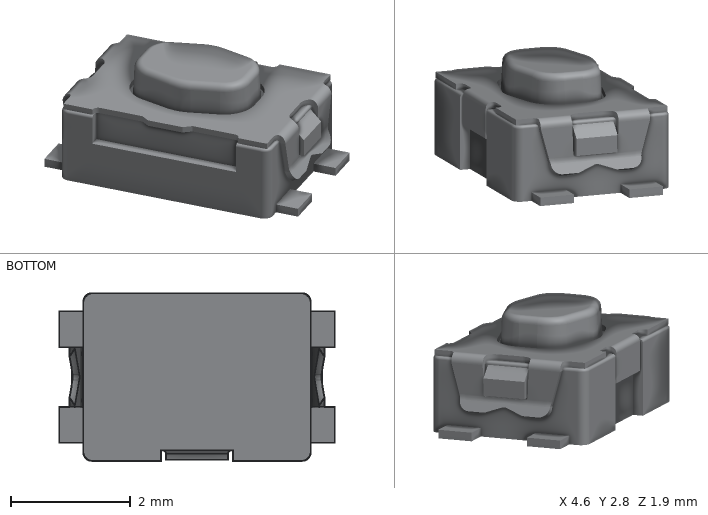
import cadquery as cq
import math

overall_length = 4.6
body_length = 3.8
body_width = 2.8
body_height = 1.3
total_height = 1.9
sheet = 0.1
cover_top = body_height + sheet
reach = overall_length

corner_radius = 0.15
rim_radius = 0.05
recess_depth = 0.18
recess_wall = body_width / 2 - recess_depth
front_recess_length = 2.605
front_recess_floor = 0.78
rear_recess_length = 1.2
catch_width = 0.735
catch_bottom = 0.75
catch_ridge = 1.045
catch_face = 2.095

terminal_width = 0.603
terminal_thickness = 0.145
terminal_spacing = 1.595

plate_length = 3.69
plate_width = 2.715
root_radius = 0.095
front_notch_end = 1.315
front_notch_depth = 0.1
lip_half_base = 0.455
lip_half_tip = 0.315
rear_slot_end = 0.915
rear_slot_root = recess_wall

tab_width = 1.035
tab_root_radius = 0.065
tab_face = 1.38
tab_bend_radius = 0.105

arm_face = 2.02
arm_bend_radius = 0.15
arm_bend_bottom = cover_top - arm_bend_radius
arm_half_top = 0.98
arm_half_bottom = 0.81
flare_top = 0.725
flare_angle = 27.0
flare_radius = 0.195
foot_length = 0.195
foot_corner_radius = 0.185
foot_notch_top = 0.585
foot_notch_slope = 19.0
foot_notch_radius = 0.14
window_start = 1.785
window_half_top = 0.415
window_half_bottom = 0.395
window_bottom = 0.718
window_plan_radius = 0.195
window_corner_radius = 0.055

button_half_length = 1.05
button_end_flat = 0.33
button_corner_radius = 0.488
button_crown_radius = 0.78
button_side_slope = 15.0
button_draft = 3.0
button_edge_radius = 0.125
button_clearance = 0.06


def block(x_min, x_max, y_min, y_max, z_min, z_max):
    size = (x_max - x_min, y_max - y_min, z_max - z_min)
    return cq.Workplane("XY").box(*size, centered=False).translate((x_min, y_min, z_min))


def mirrored_in_x(shape):
    return shape.union(shape.mirror("YZ"))


def housing_catch():
    """Wedge on the +X end wall, with a 45 degree lead-in at its top."""
    inside = body_length / 2 - rim_radius
    return (
        cq.Workplane("XZ")
        .moveTo(inside, catch_bottom)
        .lineTo(catch_face, catch_bottom)
        .lineTo(catch_face, catch_ridge)
        .lineTo(inside, catch_ridge + catch_face - inside)
        .close()
        .extrude(catch_width / 2, both=True)
    )


def make_housing():
    body = (
        cq.Workplane("XY")
        .box(body_length, body_width, body_height, centered=(True, True, False))
        .edges("|Z").fillet(corner_radius)
        .faces(">Z").edges().fillet(rim_radius)
    )
    front_half = front_recess_length / 2
    front_recess = block(-front_half, front_half, -reach, -recess_wall, front_recess_floor, reach)
    rear_half = rear_recess_length / 2
    rear_recess = block(-rear_half, rear_half, recess_wall, reach, 0, reach)
    body = body.cut(front_recess).cut(rear_recess)
    return body.union(mirrored_in_x(housing_catch()))


def make_terminal(side_x, side_y):
    """Flat lead that runs out from an end wall of the housing."""
    length = (overall_length - body_length) / 2
    center_x = side_x * (body_length + length) / 2
    center_y = side_y * terminal_spacing / 2
    return (
        cq.Workplane("XY")
        .box(length, terminal_width, terminal_thickness, centered=(True, True, False))
        .translate((center_x, center_y, 0))
    )


def button_outline(margin):
    """Closed outline of the button foot, grown outwards by margin."""
    slope = math.radians(button_side_slope)
    corner_x = button_half_length - button_corner_radius
    corner_y = button_end_flat / 2
    crown_y = (
        corner_x * math.tan(slope)
        + corner_y
        + (button_corner_radius - button_crown_radius) / math.cos(slope)
    )
    corner_r = button_corner_radius + margin
    crown_r = button_crown_radius + margin
    middle = (math.pi / 2 - slope) / 2

    def on_corner(angle, sx, sy):
        return (
            sx * (corner_x + corner_r * math.cos(angle)),
            sy * (corner_y + corner_r * math.sin(angle)),
        )

    def on_crown(sx, sy):
        return (sx * crown_r * math.sin(slope), sy * (crown_y + crown_r * math.cos(slope)))

    crown_top = crown_y + crown_r
    side_end = 2 * middle
    return (
        cq.Workplane("XY")
        .workplane(offset=body_height)
        .moveTo(*on_corner(0, 1, -1))
        .lineTo(*on_corner(0, 1, 1))
        .threePointArc(on_corner(middle, 1, 1), on_corner(side_end, 1, 1))
        .lineTo(*on_crown(1, 1))
        .threePointArc((0, crown_top), on_crown(-1, 1))
        .lineTo(*on_corner(side_end, -1, 1))
        .threePointArc(on_corner(middle, -1, 1), on_corner(0, -1, 1))
        .lineTo(*on_corner(0, -1, -1))
        .threePointArc(on_corner(middle, -1, -1), on_corner(side_end, -1, -1))
        .lineTo(*on_crown(-1, -1))
        .threePointArc((0, -crown_top), on_crown(1, -1))
        .lineTo(*on_corner(side_end, 1, -1))
        .threePointArc(on_corner(middle, 1, -1), on_corner(0, 1, -1))
        .close()
    )


def make_button():
    body = button_outline(0).extrude(total_height - body_height, taper=button_draft)
    return body.faces(">Z").edges().fillet(button_edge_radius)


def bend_section(plane, face, bend_radius, start, bottom):
    """Sheet section that runs outwards from start, bends and drops to bottom."""
    inner_radius = bend_radius - sheet
    center_u = face - bend_radius
    center_v = cover_top - bend_radius
    diagonal = math.sqrt(0.5)
    return (
        cq.Workplane(plane)
        .moveTo(start, cover_top)
        .lineTo(center_u, cover_top)
        .threePointArc(
            (center_u + bend_radius * diagonal, center_v + bend_radius * diagonal),
            (face, center_v),
        )
        .lineTo(face, bottom)
        .lineTo(face - sheet, bottom)
        .lineTo(face - sheet, center_v)
        .threePointArc(
            (center_u + inner_radius * diagonal, center_v + inner_radius * diagonal),
            (center_u, body_height),
        )
        .lineTo(start, body_height)
        .close()
    )


def flare_point(radius, degrees):
    """Point on a flare arc (X, Z), turned by degrees from the vertical arm."""
    angle = math.radians(degrees)
    center_x = arm_face + flare_radius
    return (center_x - radius * math.cos(angle), flare_top - radius * math.sin(angle))


def arm_flare():
    """Bend that turns the foot of the +X arm outwards."""
    inner_radius = flare_radius + sheet
    return (
        cq.Workplane("XZ")
        .moveTo(*flare_point(flare_radius, 0))
        .threePointArc(flare_point(flare_radius, flare_angle / 2), flare_point(flare_radius, flare_angle))
        .lineTo(*flare_point(inner_radius, flare_angle))
        .threePointArc(flare_point(inner_radius, flare_angle / 2), flare_point(inner_radius, 0))
        .close()
        .extrude(arm_half_top, both=True)
    )


def arm_foot():
    """Flat foot below the flare, with rounded lower corners."""
    angle = math.radians(flare_angle)
    start_x, start_z = flare_point(flare_radius, flare_angle)
    inwards = (-math.cos(angle), 0, -math.sin(angle))
    foot_plane = cq.Plane(origin=(start_x, 0, start_z), xDir=(0, 1, 0), normal=inwards)
    corner_start = foot_length - foot_corner_radius
    bottom_half = arm_half_bottom - foot_corner_radius
    arc_y = bottom_half + foot_corner_radius * math.sqrt(0.5)
    arc_s = corner_start + foot_corner_radius * math.sqrt(0.5)
    return (
        cq.Workplane(foot_plane)
        .moveTo(-arm_half_bottom, 0)
        .lineTo(arm_half_bottom, 0)
        .lineTo(arm_half_bottom, corner_start)
        .threePointArc((arc_y, arc_s), (bottom_half, foot_length))
        .lineTo(-bottom_half, foot_length)
        .threePointArc((-arc_y, arc_s), (-arm_half_bottom, corner_start))
        .close()
        .extrude(sheet)
    )


def foot_notch():
    """Shallow V, rounded at its peak, cut up into the lower edge of the foot."""
    half_width = arm_half_bottom
    drop = half_width * math.tan(math.radians(foot_notch_slope))
    return (
        cq.Workplane("YZ")
        .moveTo(0, foot_notch_top)
        .lineTo(half_width, foot_notch_top - drop)
        .lineTo(-half_width, foot_notch_top - drop)
        .close()
        .extrude(reach)
        .edges("|X and >Z").fillet(foot_notch_radius)
    )


def arm_outline():
    """Tapered outline of the arm below the bend, as a prism along X."""
    taper_bottom = flare_point(flare_radius, flare_angle)[1]
    return (
        cq.Workplane("YZ")
        .moveTo(-arm_half_bottom, 0)
        .lineTo(arm_half_bottom, 0)
        .lineTo(arm_half_bottom, taper_bottom)
        .lineTo(arm_half_top, arm_bend_bottom)
        .lineTo(arm_half_top + root_radius, arm_bend_bottom)
        .lineTo(arm_half_top + root_radius, cover_top)
        .lineTo(-arm_half_top - root_radius, cover_top)
        .lineTo(-arm_half_top - root_radius, arm_bend_bottom)
        .lineTo(-arm_half_top, arm_bend_bottom)
        .lineTo(-arm_half_bottom, taper_bottom)
        .close()
        .extrude(reach)
    )


def arm_window():
    """Opening around the catch, from the plate edge down the +X arm."""
    upper = (
        block(window_start, reach, -window_half_top, window_half_top, arm_bend_bottom, reach)
        .edges("|Z and <X").fillet(window_plan_radius)
    )
    lower = (
        cq.Workplane("YZ")
        .workplane(offset=window_start)
        .moveTo(-window_half_bottom, window_bottom)
        .lineTo(window_half_bottom, window_bottom)
        .lineTo(window_half_top, arm_bend_bottom)
        .lineTo(-window_half_top, arm_bend_bottom)
        .close()
        .extrude(reach)
        .edges("|X and <Z").fillet(window_corner_radius)
    )
    return upper.union(lower)


def make_arm():
    """Sheet that bends down from the +X end of the plate."""
    section = bend_section("XZ", arm_face, arm_bend_radius, window_start - sheet, flare_top)
    strip = section.extrude(arm_half_top + root_radius, both=True)
    arm = strip.union(arm_flare()).union(arm_foot())
    return arm.intersect(arm_outline()).cut(foot_notch())


def cover_plan():
    """Plan outline of plate and arms, with rounded inner corners at the arm roots."""
    plate = cq.Workplane("XY").rect(plate_length, plate_width).extrude(reach)
    arms = cq.Workplane("XY").rect(overall_length, 2 * arm_half_top).extrude(reach)
    inner_corners = "|Z and (not (>X or <X or >Y or <Y))"
    return plate.union(arms).edges(inner_corners).fillet(root_radius)


def front_notch():
    """Shallow notch in the front plate edge, right of the middle lip."""
    edge = -plate_width / 2
    root = edge + front_notch_depth
    outside = edge - sheet
    return (
        cq.Workplane("XY")
        .moveTo(lip_half_tip, outside)
        .lineTo(lip_half_tip, edge)
        .lineTo(lip_half_base, root)
        .lineTo(front_notch_end, root)
        .lineTo(front_notch_end, outside)
        .close()
        .extrude(reach)
        .edges("|Z and >X and >Y").fillet(root_radius)
    )


def rear_slot():
    """Slot in the rear plate edge, right of the tab."""
    slot = block(tab_width / 2, rear_slot_end, rear_slot_root, reach, 0, reach)
    slot = slot.edges("|Z and >X and <Y").fillet(root_radius)
    return slot.edges("|Z and <X and <Y").fillet(tab_root_radius)


def rear_tab():
    """Short tab bent down into the rear recess of the housing."""
    section = bend_section("YZ", tab_face, tab_bend_radius, rear_slot_root, front_recess_floor)
    return section.extrude(tab_width / 2, both=True)


def make_cover():
    half_x = plate_length / 2
    half_y = plate_width / 2
    plate = block(-half_x, half_x, -half_y, half_y, body_height, cover_top)
    cover = plate.union(mirrored_in_x(make_arm())).intersect(cover_plan())
    cover = cover.cut(mirrored_in_x(arm_window()))
    cover = cover.cut(mirrored_in_x(front_notch()))
    cover = cover.cut(mirrored_in_x(rear_slot()))
    half_tab = tab_width / 2
    square_edge = block(-half_tab, half_tab, tab_face - tab_bend_radius, reach, 0, reach)
    cover = cover.cut(square_edge).union(rear_tab())
    return cover.cut(button_outline(button_clearance).extrude(sheet))


housing = make_housing()
cover = make_cover()
button = make_button()
terminals = []
for side_x in (-1, 1):
    for side_y in (-1, 1):
        terminals.append(make_terminal(side_x, side_y).val())

single_parts = [part.solids().val() for part in (housing, cover, button)]
result = cq.Compound.makeCompound([*single_parts, *terminals])